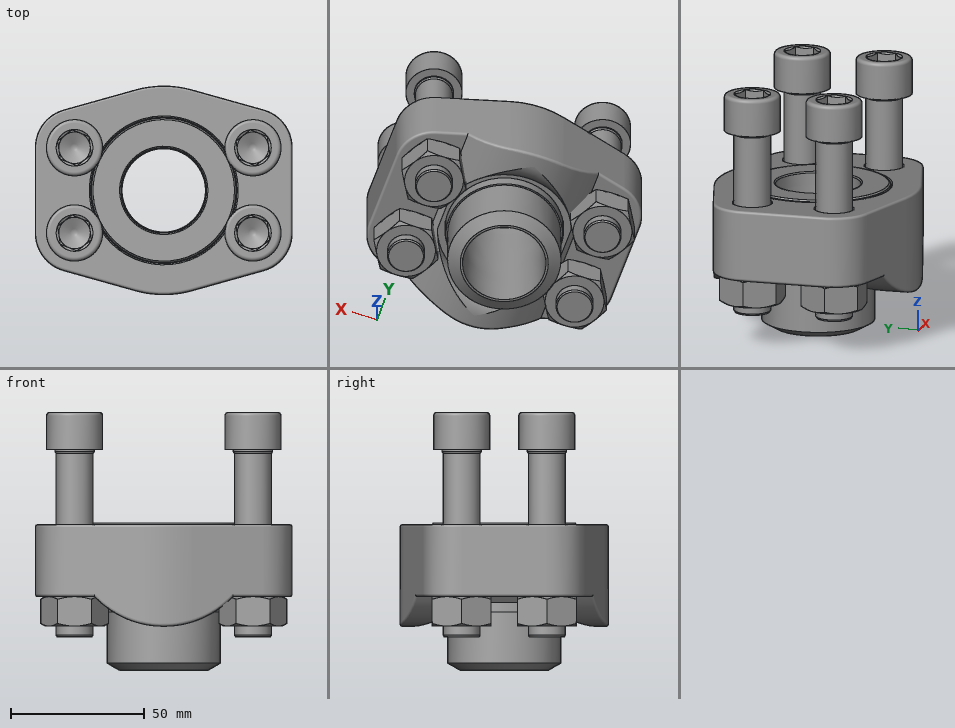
import cadquery as cq
import math

SCREW_SPACING_X = 66.7
SCREW_SPACING_Y = 31.8
SCREW_X = SCREW_SPACING_X / 2
SCREW_Y = SCREW_SPACING_Y / 2
SCREW_PLACES = [(x, y) for x in (-SCREW_X, SCREW_X) for y in (-SCREW_Y, SCREW_Y)]
TOTAL_HEIGHT = 96.5
SLEEVE_TOP = 55.2
FLANGE_TOP = 54.5
NUT_BOTTOM = 16.6
NUT_HEIGHT = 11.0
NUT_TOP = NUT_BOTTOM + NUT_HEIGHT
FLANGE_BOTTOM = NUT_TOP

FLANGE_LENGTH = 96.0
FLANGE_WIDTH = 78.0
FLANGE_ROUNDING = 1.0
ARCH_BOTTOM = 16.5
ARCH_HALF_CHORD = 25.9
RELIEF_DIAMETER = 50.0
RELIEF_RADIUS = 9.0
SCREW_HOLE_DIAMETER = 15.0
FLANGE_BORE_DIAMETER = 44.5
COUNTERBORE_DIAMETER = 54.7
COUNTERBORE_CHAMFER = 0.5

COLLAR_DIAMETER = 54.0
COLLAR_HEIGHT = 9.65
COLLAR_BOTTOM = SLEEVE_TOP - COLLAR_HEIGHT
COLLAR_CHAMFER = 0.6
SLEEVE_DIAMETER = 43.5
NECK_DIAMETER = 42.4
NECK_TOP = 21.9
NECK_BEVEL_HEIGHT = 2.7
NECK_BEVEL_WIDTH = 4.7
BORE_END_DIAMETER = 31.2
BORE_ENTRY_DIAMETER = 32.0
BORE_ENTRY_DEPTH = 5.3
BORE_CHAMFER = 0.5

HEAD_DIAMETER = 21.0
HEAD_HEIGHT = 14.0
HEAD_ROUNDING = 1.35
SHANK_DIAMETER = 13.9
SHANK_LENGTH = 70.0
HEAD_BOTTOM = TOTAL_HEIGHT - HEAD_HEIGHT
SCREW_TIP = HEAD_BOTTOM - SHANK_LENGTH
TIP_DIAMETER = 13.0
TIP_CHAMFER_HEIGHT = 0.7
UNDERHEAD_DIAMETER = 14.8
UNDERHEAD_HEIGHT = 1.35
SOCKET_FLATS = 11.8
SOCKET_DEPTH = 8.3
SOCKET_MOUTH_DIAMETER = 13.7
SOCKET_MOUTH_DEPTH = 0.6
SOCKET_CONE_HEIGHT = 3.4
SOCKET_TURN = 38.0

NUT_FLATS = 22.0
NUT_CHAMFER_ANGLE = 30.0


def round_bar(diameter, bottom, top):
    """Upright cylinder on the Z axis."""
    return cq.Workplane("XY", origin=(0, 0, bottom)).circle(diameter / 2).extrude(top - bottom)


def cone(bottom_diameter, top_diameter, bottom, top):
    """Upright cone or cone frustum on the Z axis."""
    solid = cq.Solid.makeCone(bottom_diameter / 2, top_diameter / 2, top - bottom, pnt=(0, 0, bottom))
    return cq.Workplane(solid)


def corner_diameter(flats):
    """Circle diameter through the corners of a hexagon of the given width across flats."""
    return flats / math.cos(math.radians(30))


def flange_outline():
    """Lozenge: end arcs around the screws joined by tangent lines to arcs around the origin."""
    side_radius = FLANGE_WIDTH / 2
    corner_radius = FLANGE_LENGTH / 2 - SCREW_X
    screw_distance = math.hypot(SCREW_X, SCREW_Y)
    slope = math.asin((side_radius - corner_radius) / screw_distance) - math.atan2(SCREW_Y, SCREW_X)
    middle = (math.pi / 2 - slope) / 2

    def side_point(angle):
        return side_radius * math.sin(angle), side_radius * math.cos(angle)

    def corner_point(angle):
        return (SCREW_X + corner_radius * math.cos(angle), SCREW_Y + corner_radius * math.sin(angle))

    def mirrored(point, x_sign, y_sign):
        return x_sign * point[0], y_sign * point[1]

    tangent = side_point(slope)
    corner_start = corner_point(math.pi / 2 - slope)
    corner_middle = corner_point(middle)
    corner_end = corner_point(0)
    return (
        cq.Workplane("XY")
        .moveTo(*mirrored(tangent, -1, 1))
        .threePointArc((0, side_radius), tangent)
        .lineTo(*corner_start)
        .threePointArc(corner_middle, corner_end)
        .lineTo(*mirrored(corner_end, 1, -1))
        .threePointArc(mirrored(corner_middle, 1, -1), mirrored(corner_start, 1, -1))
        .lineTo(*mirrored(tangent, 1, -1))
        .threePointArc((0, -side_radius), mirrored(tangent, -1, -1))
        .lineTo(*mirrored(corner_start, -1, -1))
        .threePointArc(mirrored(corner_middle, -1, -1), mirrored(corner_end, -1, -1))
        .lineTo(*mirrored(corner_end, -1, 1))
        .threePointArc(mirrored(corner_middle, -1, 1), mirrored(corner_start, -1, 1))
        .close()
    )


def flange_blank():
    """Outline with a flat top and an underside that bulges down in an arch along Y."""
    half_length = FLANGE_LENGTH / 2
    section = (
        cq.Workplane("XZ")
        .moveTo(-half_length, FLANGE_TOP)
        .lineTo(-half_length, FLANGE_BOTTOM)
        .lineTo(-ARCH_HALF_CHORD, FLANGE_BOTTOM)
        .threePointArc((0, ARCH_BOTTOM), (ARCH_HALF_CHORD, FLANGE_BOTTOM))
        .lineTo(half_length, FLANGE_BOTTOM)
        .lineTo(half_length, FLANGE_TOP)
        .close()
        .extrude(FLANGE_WIDTH / 2, both=True)
    )
    return flange_outline().extrude(FLANGE_TOP).intersect(section)


def underside_relief():
    """Round cutter with a flared foot, which leaves a large fillet from the bore to the underside."""
    wall_radius = RELIEF_DIAMETER / 2
    foot_radius = wall_radius + RELIEF_RADIUS
    relief_top = ARCH_BOTTOM + RELIEF_RADIUS
    diagonal = RELIEF_RADIUS * math.sqrt(0.5)
    return (
        cq.Workplane("XZ")
        .lineTo(foot_radius, 0)
        .lineTo(foot_radius, ARCH_BOTTOM)
        .threePointArc((foot_radius - diagonal, relief_top - diagonal), (wall_radius, relief_top))
        .lineTo(0, relief_top)
        .close()
        .revolve(360, (0, 0, 0), (0, 1, 0))
    )


def rounded_blank():
    """Blank with its top rim and its lower rim rounded, the rims of the arch included."""
    blank = flange_blank().faces(">Z").edges().fillet(FLANGE_ROUNDING)
    lower_rim = []
    for edge in blank.edges().vals():
        box = edge.BoundingBox()
        is_low = box.zmax < FLANGE_BOTTOM + FLANGE_ROUNDING
        runs_across_underside = box.ylen > FLANGE_WIDTH / 2
        if is_low and not runs_across_underside:
            lower_rim.append(edge)
    return blank.newObject(lower_rim).fillet(FLANGE_ROUNDING)


def make_flange():
    """Rounded blank with the stepped bore for the sleeve and four clearance holes."""
    flange = rounded_blank().cut(underside_relief())
    flange = flange.cut(round_bar(FLANGE_BORE_DIAMETER, 0, FLANGE_TOP))
    flange = flange.cut(round_bar(COUNTERBORE_DIAMETER, COLLAR_BOTTOM, FLANGE_TOP))
    mouth_diameter = COUNTERBORE_DIAMETER + 2 * COUNTERBORE_CHAMFER
    mouth_bottom = FLANGE_TOP - COUNTERBORE_CHAMFER
    flange = flange.cut(cone(COUNTERBORE_DIAMETER, mouth_diameter, mouth_bottom, FLANGE_TOP))
    screw_hole = round_bar(SCREW_HOLE_DIAMETER, 0, FLANGE_TOP)
    for x, y in SCREW_PLACES:
        flange = flange.cut(screw_hole.translate((x, y, 0)))
    return flange


def make_sleeve():
    """Tube with a collar at the top, a slightly thinner neck below and a tapered bore."""
    return (
        cq.Workplane("XZ")
        .moveTo(BORE_END_DIAMETER / 2, 0)
        .lineTo(NECK_DIAMETER / 2 - NECK_BEVEL_WIDTH, 0)
        .lineTo(NECK_DIAMETER / 2, NECK_BEVEL_HEIGHT)
        .lineTo(NECK_DIAMETER / 2, NECK_TOP)
        .lineTo(SLEEVE_DIAMETER / 2, NECK_TOP)
        .lineTo(SLEEVE_DIAMETER / 2, COLLAR_BOTTOM)
        .lineTo(COLLAR_DIAMETER / 2, COLLAR_BOTTOM)
        .lineTo(COLLAR_DIAMETER / 2, SLEEVE_TOP - COLLAR_CHAMFER)
        .lineTo(COLLAR_DIAMETER / 2 - COLLAR_CHAMFER, SLEEVE_TOP)
        .lineTo(BORE_ENTRY_DIAMETER / 2 + BORE_CHAMFER, SLEEVE_TOP)
        .lineTo(BORE_ENTRY_DIAMETER / 2, SLEEVE_TOP - BORE_CHAMFER)
        .lineTo(BORE_ENTRY_DIAMETER / 2, SLEEVE_TOP - BORE_ENTRY_DEPTH)
        .close()
        .revolve(360, (0, 0, 0), (0, 1, 0))
    )


def screw_shank():
    """Shank with a chamfered tip and a short thicker step tapering away under the head."""
    tip_top = SCREW_TIP + TIP_CHAMFER_HEIGHT
    step_bottom = HEAD_BOTTOM - UNDERHEAD_HEIGHT / 2
    taper_bottom = HEAD_BOTTOM - UNDERHEAD_HEIGHT
    return (
        round_bar(SHANK_DIAMETER, tip_top, HEAD_BOTTOM)
        .union(cone(TIP_DIAMETER, SHANK_DIAMETER, SCREW_TIP, tip_top))
        .union(cone(SHANK_DIAMETER, UNDERHEAD_DIAMETER, taper_bottom, step_bottom))
        .union(round_bar(UNDERHEAD_DIAMETER, step_bottom, HEAD_BOTTOM))
    )


def socket_cutter():
    """Hexagon socket with a conical floor and a countersunk mouth."""
    floor = TOTAL_HEIGHT - SOCKET_DEPTH
    mouth_bottom = TOTAL_HEIGHT - SOCKET_MOUTH_DEPTH
    hexagon = (
        cq.Workplane("XY", origin=(0, 0, floor))
        .polygon(6, corner_diameter(SOCKET_FLATS))
        .extrude(SOCKET_DEPTH)
        .rotate((0, 0, 0), (0, 0, 1), SOCKET_TURN)
    )
    return (
        hexagon
        .union(cone(0, SOCKET_FLATS, floor - SOCKET_CONE_HEIGHT, floor))
        .union(cone(SOCKET_FLATS, SOCKET_MOUTH_DIAMETER, mouth_bottom, TOTAL_HEIGHT))
    )


def make_screw(x, y):
    """Screw with a cylindrical head, rounded at the top and holding a hexagon socket."""
    head = round_bar(HEAD_DIAMETER, HEAD_BOTTOM, TOTAL_HEIGHT).faces(">Z").edges().fillet(HEAD_ROUNDING)
    return head.union(screw_shank()).cut(socket_cutter()).translate((x, y, 0))


def make_nut(x, y):
    """Hexagon nut, corners along X, chamfered on both faces."""
    corner_radius = corner_diameter(NUT_FLATS) / 2
    face_radius = NUT_FLATS / 2
    chamfer_height = (corner_radius - face_radius) * math.tan(math.radians(NUT_CHAMFER_ANGLE))
    hexagon = (
        cq.Workplane("XY", origin=(0, 0, NUT_BOTTOM))
        .polygon(6, 2 * corner_radius)
        .extrude(NUT_HEIGHT)
    )
    envelope = (
        cq.Workplane("XZ")
        .moveTo(0, NUT_BOTTOM)
        .lineTo(face_radius, NUT_BOTTOM)
        .lineTo(corner_radius, NUT_BOTTOM + chamfer_height)
        .lineTo(corner_radius, NUT_TOP - chamfer_height)
        .lineTo(face_radius, NUT_TOP)
        .lineTo(0, NUT_TOP)
        .close()
        .revolve(360, (0, 0, 0), (0, 1, 0))
    )
    thread = round_bar(SHANK_DIAMETER, NUT_BOTTOM, NUT_TOP)
    return hexagon.intersect(envelope).cut(thread).translate((x, y, 0))


flange = make_flange()
sleeve = make_sleeve()
screws = [make_screw(x, y) for x, y in SCREW_PLACES]
nuts = [make_nut(x, y) for x, y in SCREW_PLACES]

result = cq.Compound.makeCompound(
    [
        flange.val(),
        sleeve.val(),
        *[screw.val() for screw in screws],
        *[nut.val() for nut in nuts],
    ]
)